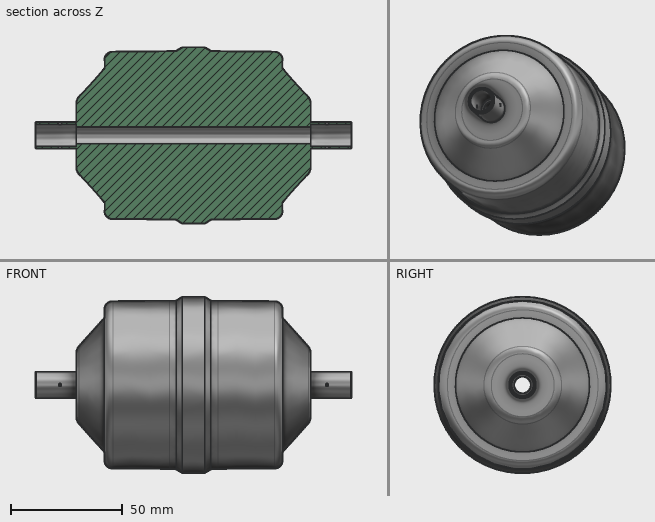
import cadquery as cq

overall_length = 141.5

band_diameter = 79.1
band_half_width = 5.0
collar_diameter = 75.5
collar_inner_x = 7.8
collar_outer_x = 10.8

shoulder_diameter = 75.0
shoulder_x = 39.9
shoulder_radius = 3.8

cone_base_diameter = 60.0
nose_x = 52.5
nose_corner_diameter = 32.0
nose_radius = 5.0

tube_diameter = 12.0
tube_bore_diameter = 9.8
tube_edge_chamfer = 0.4
through_bore_diameter = 7.4
pin_hole_diameter = 1.1
pin_hole_x = 59.7


def x_cylinder(diameter, start, end):
    return cq.Workplane("YZ", origin=(start, 0, 0)).circle(diameter / 2).extrude(end - start)


def edges_at(x, diameter):
    """Select the circular edge of the given diameter lying at the given x."""
    reach = diameter / 2 + 0.1
    margin = 0.1
    return cq.selectors.BoxSelector(
        (x - margin, -reach, -reach), (x + margin, reach, reach), boundingbox=True
    )


def revolved_body():
    half_profile = [
        (nose_x, 0),
        (nose_x, nose_corner_diameter / 2),
        (shoulder_x, cone_base_diameter / 2),
        (shoulder_x, shoulder_diameter / 2),
        (collar_outer_x, collar_diameter / 2),
        (collar_inner_x, collar_diameter / 2),
        (band_half_width, band_diameter / 2),
    ]
    mirrored = [(-x, r) for x, r in reversed(half_profile)]
    body = (
        cq.Workplane("XZ")
        .polyline(half_profile + mirrored)
        .close()
        .revolve(360, (0, 0, 0), (1, 0, 0))
    )
    for side in (-1, 1):
        body = body.edges(edges_at(side * nose_x, nose_corner_diameter)).fillet(nose_radius)
        shoulder = edges_at(side * shoulder_x, shoulder_diameter)
        cone_base = edges_at(side * shoulder_x, cone_base_diameter)
        body = body.edges(shoulder - cone_base).fillet(shoulder_radius)
    return body


half_length = overall_length / 2
tubes = x_cylinder(tube_diameter, -half_length, half_length).edges().chamfer(tube_edge_chamfer)
result = revolved_body().union(tubes)

result = result.cut(x_cylinder(through_bore_diameter, -half_length, half_length))
for start, end in ((-half_length, -nose_x), (nose_x, half_length)):
    result = result.cut(x_cylinder(tube_bore_diameter, start, end))

pin_holes = (
    cq.Workplane("XZ")
    .pushPoints([(-pin_hole_x, 0), (pin_hole_x, 0)])
    .circle(pin_hole_diameter / 2)
    .extrude(tube_diameter, both=True)
)
result = result.cut(pin_holes)